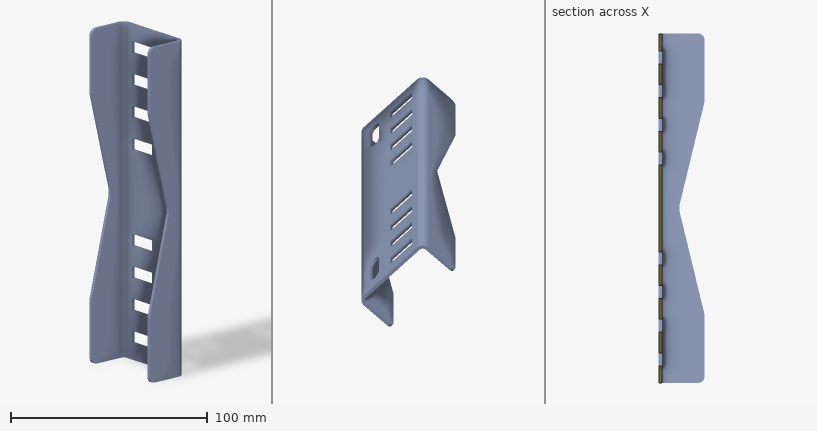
import cadquery as cq

width = 46.99
depth = 23.39
length = 177.8
thickness = 1.8
inner_bend_radius = 2.3
outer_bend_radius = inner_bend_radius + thickness
flange_edge_y = -depth / 2

corner_radius = 3.175

notch_depth = 12.7
notch_half_width = 53.975
notch_root_width = 3.175

window_width = 15.875
window_height = 6.35
window_x = -7.75
window_pitch = 17.145
windows_per_group = 4
innermost_window_z = 25.4

slot_width = 6.35
slot_length = 20.32
slot_x = 11.6
slot_z = 70.5


def channel_blank():
    """Bent channel with concentric inner and outer bends and square ends."""
    outer = cq.Workplane("XY").box(width, depth, length).edges("|Z and >Y").fillet(outer_bend_radius)
    cavity = (
        cq.Workplane("XY")
        .box(width - 2 * thickness, depth, length)
        .edges("|Z and >Y")
        .fillet(inner_bend_radius)
        .translate((0, -thickness, 0))
    )
    return outer.cut(cavity)


def round_flange_corners(body):
    """Round the four free corners at the ends of the flanges."""
    return body.faces("<Y").edges("|X and (>Z or <Z)").fillet(corner_radius)


def notch_cutter():
    """Trapezoidal prism across both flanges, with a short flat root."""
    root_y = flange_edge_y + notch_depth
    return (
        cq.Workplane("YZ")
        .polyline([
            (flange_edge_y, -notch_half_width),
            (root_y, -notch_root_width / 2),
            (root_y, notch_root_width / 2),
            (flange_edge_y, notch_half_width),
        ])
        .close()
        .extrude(width / 2, both=True)
    )


def web_cutter(sketch):
    """Extrude a profile drawn on the XZ plane through the full depth of the channel."""
    return sketch.extrude(depth, both=True)


def window_cutter():
    """All rectangular windows."""
    offsets = [innermost_window_z + i * window_pitch for i in range(windows_per_group)]
    centres = [(window_x, side * z) for side in (-1, 1) for z in offsets]
    return web_cutter(cq.Workplane("XZ").pushPoints(centres).rect(window_width, window_height))


def slot_cutter():
    """Both round-ended mounting slots, long axis along Z."""
    centres = [(slot_x, side * slot_z) for side in (-1, 1)]
    return web_cutter(cq.Workplane("XZ").pushPoints(centres).slot2D(slot_length, slot_width, 90))


result = (
    round_flange_corners(channel_blank())
    .cut(notch_cutter())
    .cut(window_cutter())
    .cut(slot_cutter())
)